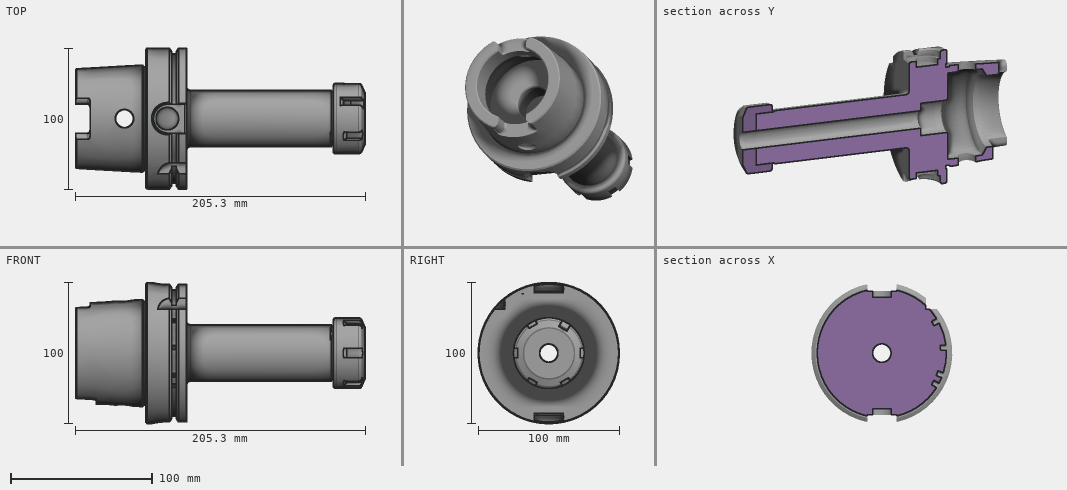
import cadquery as cq
import math


x_axis = ((0, 0, 0), (1, 0, 0))
overcut = 2.0
margin = 0.2

total_length = 205.3
flange_start = 49.9
flange_width = 29.0
flange_end = flange_start + flange_width
nut_start = 182.7
spigot_end = 195.0

taper_small_radius = 35.3
taper_large_radius = 38.0
taper_end = 47.5
taper_tip_chamfer = 0.8
neck_start = 48.2
neck_radius = 37.0
face_recess_radius = 39.0
face_recess_depth = 0.6
cross_hole_x = 34.7
cross_hole_radius = 6.4

flange_diameter = 100.0
flange_radius = flange_diameter / 2
flange_chamfer = 1.0
flange_end_chamfer = 0.5
groove_x = 69.8
groove_floor_radius = 46.0
groove_wall_radius = 47.2
groove_floor_width = 3.0
groove_mouth_width = 6.8

shaft_diameter = 40.0
shaft_radius = shaft_diameter / 2
shaft_base_fillet = 2.5
spigot_radius = 19.3
shaft_end = 181.5
end_flat_length = 0.8
end_flat_angle = 45.0
end_flat_depth = 0.8

bore_radius = 26.5
bore_chamfer = 0.8
clamp_shoulder_x = 20.0
clamp_shoulder_angle = 60.0
clamp_bore_radius = 32.0
bore_depth = 49.3
counterbore_radius = 12.0
counterbore_chamfer = 0.8
counterbore_end = 69.8
through_radius = 6.4

drive_half_width = 10.3
drive_flare = 4.3
drive_flare_start = 27.7
drive_end_fillet = 1.8
drive_depth_top = 10.3
drive_depth_bottom = 14.8

key_half_width = 10.3
key_center_x = 65.5
key_floor = 44.0
key_end_chamfer = 1.2
key_land_chamfer = 0.6
key_floor_chamfer = 1.2
key_hole_x = 65.0
key_hole_radius = 8.0
key_hole_depth = 4.3

notch_offset = 31.2
notch_radius = 10.3
notch_end_x = 58.0
groove_hole_radius = 1.6
groove_hole_depth = 4.1
groove_hole_angles = (-30.0, -20.0, 5.0, 30.0)

nut_radius = 25.0
nut_back_fillet = 2.0
nut_front_radius = 18.0
nut_cone_start = 202.2
nut_shoulder_fillet = 2.5
nut_front_fillet = 0.6
nut_slot_count = 6
nut_slot_width = 6.5
nut_slot_floor = 22.2
nut_slot_start = 189.9
nut_slot_ramp = 2.5
long_slot_index = 2
long_slot_floor = 20.0
long_slot_start = 187.6


def revolve_profile(points):
    """Revolve an (x, radius) outline about the X axis."""
    return cq.Workplane("XY").polyline(points).close().revolve(360, *x_axis)


def axial_cylinder(start, end, radius):
    return cq.Workplane("YZ", origin=(start, 0, 0)).circle(radius).extrude(end - start)


def ring_edge(x, radius):
    """Select the circular edges at a place along X, up to the given radius."""
    reach = radius + margin
    low = (x - margin, -reach, -reach)
    high = (x + margin, reach, reach)
    return cq.selectors.BoxSelector(low, high, boundingbox=True)


def turned_holder():
    """Taper shank, flange, shaft and spigot as one turned outline."""
    tip = taper_tip_chamfer
    recess_floor = flange_start + face_recess_depth
    body = revolve_profile([
        (0, 0),
        (0, taper_small_radius - tip),
        (tip, taper_small_radius),
        (taper_end, taper_large_radius),
        (neck_start, neck_radius),
        (recess_floor, neck_radius),
        (recess_floor, face_recess_radius),
        (flange_start, face_recess_radius),
        (flange_start, flange_radius - flange_chamfer),
        (flange_start + flange_chamfer, flange_radius),
        (groove_x - groove_mouth_width / 2, flange_radius),
        (groove_x - groove_floor_width / 2, groove_wall_radius),
        (groove_x - groove_floor_width / 2, groove_floor_radius),
        (groove_x + groove_floor_width / 2, groove_floor_radius),
        (groove_x + groove_floor_width / 2, groove_wall_radius),
        (groove_x + groove_mouth_width / 2, flange_radius),
        (flange_end - flange_end_chamfer, flange_radius),
        (flange_end, flange_radius - flange_end_chamfer),
        (flange_end, shaft_radius),
        (shaft_end, shaft_radius),
        (shaft_end, spigot_radius),
        (spigot_end, spigot_radius),
        (spigot_end, 0),
    ])
    return body.edges(ring_edge(flange_end, shaft_radius)).fillet(shaft_base_fillet)


def bore_cutter():
    """Stepped central bore, open at both ends, with a conical clamping shoulder inside."""
    cone_length = (clamp_bore_radius - bore_radius) / math.tan(math.radians(clamp_shoulder_angle))
    return revolve_profile([
        (0, 0),
        (0, bore_radius + bore_chamfer),
        (bore_chamfer, bore_radius),
        (clamp_shoulder_x, bore_radius),
        (clamp_shoulder_x + cone_length, clamp_bore_radius),
        (bore_depth, clamp_bore_radius),
        (bore_depth, counterbore_radius + counterbore_chamfer),
        (bore_depth + counterbore_chamfer, counterbore_radius),
        (counterbore_end, counterbore_radius),
        (counterbore_end, through_radius),
        (total_length, through_radius),
        (total_length, 0),
    ])


def drive_slot_cutter(depth):
    """Slot in the upper taper wall; its sides flare out in an arc near the outer surface."""
    inner_z = bore_radius / 2
    outer_z = taper_large_radius + drive_flare
    flare_z = drive_flare_start + drive_flare
    wide = drive_half_width + drive_flare
    mid_offset = drive_flare * math.sqrt(0.5)
    mid_y = wide - mid_offset
    mid_z = drive_flare_start + mid_offset
    slot = (
        cq.Workplane("YZ", origin=(-overcut, 0, 0))
        .moveTo(-drive_half_width, inner_z)
        .lineTo(drive_half_width, inner_z)
        .lineTo(drive_half_width, drive_flare_start)
        .threePointArc((mid_y, mid_z), (wide, flare_z))
        .lineTo(wide, outer_z)
        .lineTo(-wide, outer_z)
        .lineTo(-wide, flare_z)
        .threePointArc((-mid_y, mid_z), (-drive_half_width, drive_flare_start))
        .close()
        .extrude(depth + overcut)
    )
    return slot.faces(">X").edges().fillet(drive_end_fillet)


def keyway_cutter():
    """Round-ended flat keyway at +Z, open towards +X, with a blind hole in its floor."""
    top = flange_radius + overcut
    floor = cq.Workplane("XY", origin=(key_center_x, 0, key_floor))
    keyway = floor.circle(key_half_width).extrude(top - key_floor)
    straight = (
        cq.Workplane("XZ", origin=(0, key_half_width, 0))
        .polyline([
            (key_center_x, key_floor),
            (flange_end - key_floor_chamfer, key_floor),
            (flange_end, key_floor - key_floor_chamfer),
            (flange_end, top),
            (key_center_x, top),
        ])
        .close()
        .extrude(2 * key_half_width)
    )
    hole = floor.center(key_hole_x - key_center_x, 0).circle(key_hole_radius).extrude(-key_hole_depth)
    return keyway.union(straight).union(hole)


def keyway_rim(start, end, side):
    """Select the outer keyway edges between two places along X, on the +Z or -Z side."""
    reach = key_half_width + margin
    return cq.selectors.BoxSelector(
        (start, -reach, side * (groove_wall_radius + margin)),
        (end, reach, side * (flange_radius + margin)),
        boundingbox=True,
    )


def cut_keyways(body):
    """Cut both keyways and chamfer their outer edges on each side of the groove."""
    land_start = groove_x + groove_floor_width / 2
    rim_start = key_center_x - key_half_width - margin
    for side in (1, -1):
        angle = 0 if side > 0 else 180
        body = body.cut(keyway_cutter().rotate(*x_axis, angle))
        body = body.edges(keyway_rim(rim_start, groove_x, side)).chamfer(key_end_chamfer)
        body = body.edges(keyway_rim(land_start, flange_end - margin, side)).chamfer(key_land_chamfer)
    return body


def notch_cutter():
    """Square corner notch at -Y +Z with a rounded end, open towards +X."""
    reach = flange_radius - notch_offset
    arc_mid = notch_radius * (1 - math.sqrt(0.5))
    return (
        cq.Workplane("XY", origin=(0, 0, notch_offset))
        .moveTo(flange_end + overcut, -notch_offset)
        .lineTo(notch_end_x + notch_radius, -notch_offset)
        .threePointArc(
            (notch_end_x + arc_mid, -notch_offset - arc_mid),
            (notch_end_x, -notch_offset - notch_radius),
        )
        .lineTo(notch_end_x, -flange_radius)
        .lineTo(flange_end + overcut, -flange_radius)
        .close()
        .extrude(reach)
    )


def groove_hole_cutter(angle):
    """Radial blind hole in the groove floor."""
    return (
        cq.Workplane("XZ", origin=(groove_x, 0, 0))
        .workplane(offset=groove_floor_radius - groove_hole_depth)
        .circle(groove_hole_radius)
        .extrude(groove_hole_depth + margin)
        .rotate(*x_axis, -angle)
    )


def end_flat_cutter():
    """Small flat on the shaft end next to the nut."""
    start = shaft_end - end_flat_length
    return (
        cq.Workplane("XZ", origin=(start, 0, 0))
        .workplane(offset=shaft_radius - end_flat_depth)
        .rect(2 * (nut_start - start), 2 * shaft_radius)
        .extrude(overcut)
        .intersect(axial_cylinder(start, nut_start, flange_radius))
        .rotate(*x_axis, -end_flat_angle)
    )


def make_holder():
    body = turned_holder().cut(bore_cutter())
    cross_hole = (
        cq.Workplane("XY", origin=(cross_hole_x, 0, 0))
        .circle(cross_hole_radius)
        .extrude(flange_radius, both=True)
    )
    body = body.cut(cross_hole)
    body = body.cut(drive_slot_cutter(drive_depth_top))
    body = body.cut(drive_slot_cutter(drive_depth_bottom).rotate(*x_axis, 180))
    body = cut_keyways(body)
    body = body.cut(notch_cutter())
    for angle in groove_hole_angles:
        body = body.cut(groove_hole_cutter(angle))
    return body.cut(end_flat_cutter())


def nut_slot_cutter(start, floor):
    """Spanner slot at -Y, ramped at its closed end and open at the nut front."""
    outer = nut_radius + overcut
    return (
        cq.Workplane("XY", origin=(0, 0, -nut_slot_width / 2))
        .polyline([
            (start, -outer),
            (start, -nut_radius),
            (start + nut_slot_ramp, -floor),
            (total_length + overcut, -floor),
            (total_length + overcut, -outer),
        ])
        .close()
        .extrude(nut_slot_width)
    )


def make_nut():
    nut = revolve_profile([
        (nut_start, 0),
        (nut_start, nut_radius),
        (nut_cone_start, nut_radius),
        (total_length, nut_front_radius),
        (total_length, 0),
    ])
    nut = nut.faces("<X").edges().fillet(nut_back_fillet)
    nut = nut.faces(">X").edges().fillet(nut_front_fillet)
    nut = nut.edges(ring_edge(nut_cone_start, nut_radius)).fillet(nut_shoulder_fillet)
    nut = nut.cut(axial_cylinder(nut_start, spigot_end, spigot_radius))
    nut = nut.cut(axial_cylinder(spigot_end, total_length, through_radius))
    for index in range(nut_slot_count):
        is_long = index == long_slot_index
        start = long_slot_start if is_long else nut_slot_start
        floor = long_slot_floor if is_long else nut_slot_floor
        angle = -index * 360 / nut_slot_count
        nut = nut.cut(nut_slot_cutter(start, floor).rotate(*x_axis, angle))
    return nut


holder = make_holder()
nut = make_nut()
result = cq.Compound.makeCompound([holder.val(), nut.val()])